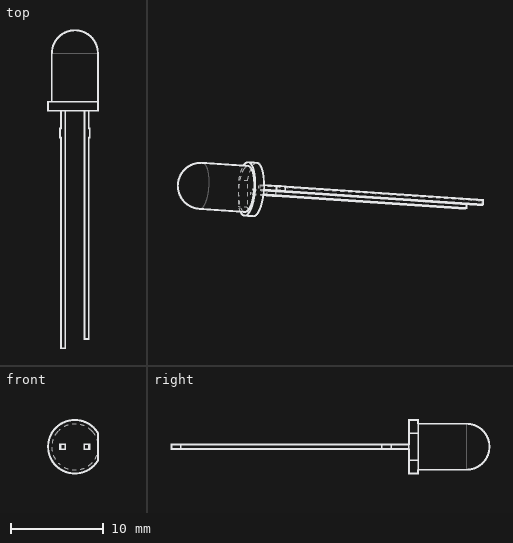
import cadquery as cq
import math

lens_radius = 2.5
lens_height = 8.7
flange_radius = 2.9
flange_thickness = 1.0
flat_offset = lens_radius

lead_pitch = 2.54
lead_width = 0.5
long_lead_length = 25.6
lead_length_difference = 1.0
short_lead_length = long_lead_length - lead_length_difference

stop_distance = 1.9
stop_length = 1.0
stop_projection = 0.1


def make_lens():
    """Cylinder with a hemispherical tip, revolved about the Y axis."""
    dome_start = lens_height - lens_radius
    dome_mid = lens_radius * math.cos(math.pi / 4)
    return (
        cq.Workplane("XY")
        .lineTo(lens_radius, 0)
        .lineTo(lens_radius, dome_start)
        .threePointArc((dome_mid, dome_start + dome_mid), (0, lens_height))
        .close()
        .revolve(360, (0, 0, 0), (0, 1, 0))
    )


def make_flange():
    """Round flange with a flat on its +X side."""
    flat_half_height = math.sqrt(flange_radius**2 - flat_offset**2)
    return (
        cq.Workplane("XZ")
        .moveTo(flat_offset, flat_half_height)
        .threePointArc((-flange_radius, 0), (flat_offset, -flat_half_height))
        .close()
        .extrude(-flange_thickness)
    )


def make_lead(side, length):
    """Square lead with an outward stop shoulder; side is -1 for -X, +1 for +X."""
    inner = side * (lead_pitch - lead_width) / 2
    outer = side * (lead_pitch + lead_width) / 2
    shoulder = outer + side * stop_projection
    stop_end = stop_distance + stop_length
    return (
        cq.Workplane("XY")
        .workplane(offset=-lead_width / 2)
        .moveTo(inner, 0)
        .lineTo(outer, 0)
        .lineTo(outer, -stop_distance)
        .lineTo(shoulder, -stop_distance)
        .lineTo(shoulder, -stop_end)
        .lineTo(outer, -stop_end)
        .lineTo(outer, -length)
        .lineTo(inner, -length)
        .close()
        .extrude(lead_width)
    )


result = make_lens().union(make_flange())
for side, length in ((-1, long_lead_length), (1, short_lead_length)):
    result = result.union(make_lead(side, length))